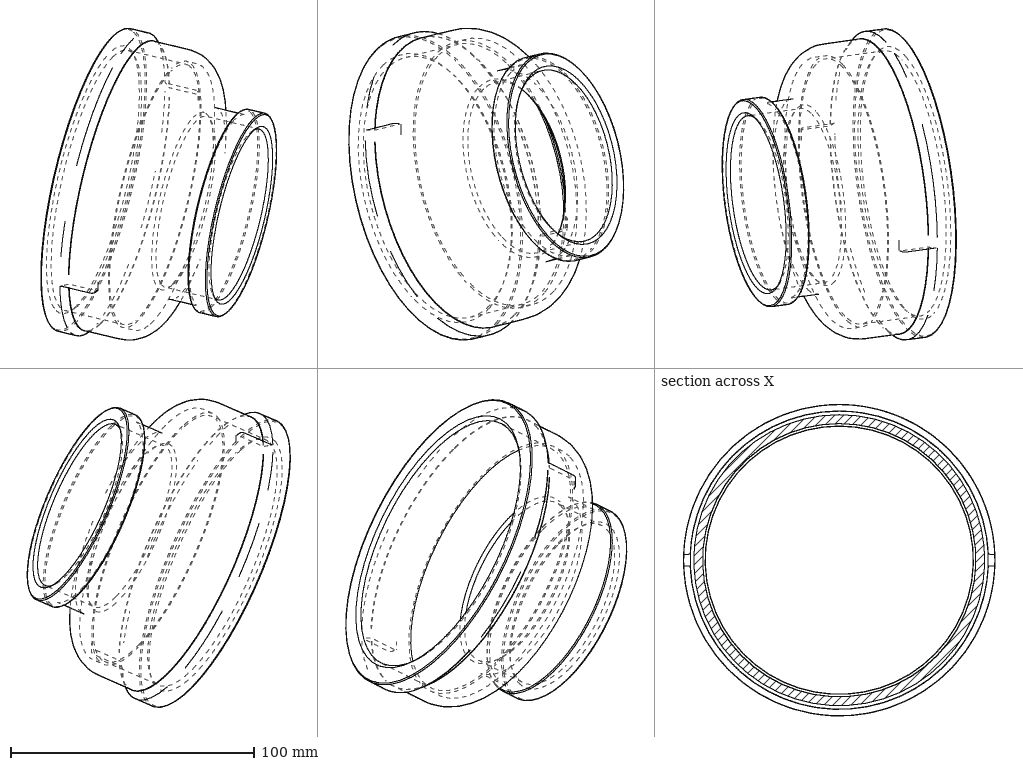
import cadquery as cq
import math

length = 65.0

collar_dia = 128.0
body_dia = 122.43
neck_dia = 81.0
flange_dia = 86.0

collar_end = 8.6
shoulder_start = 26.6
flange_start = 56.7

shoulder_radius = 13.8
cone_angle = math.radians(18.0)
neck_fillet = 0.7
rim_chamfer = 0.5
flange_root_fillet = 0.4

socket_dia = 110.07
relief_dia = 112.5
bore_dia = 72.23

relief_start = 27.0
relief_fillet = 2.0
bore_start = 40.5
bore_chamfer = 1.4
mouth_chamfer = 1.5

rib_end = 24.0
rib_width = 5.0
rib_draft = math.radians(5.0)
rib_end_draft = math.radians(15.0)
rib_end_rounding = 2.0
edge_fillet = 0.3

collar_r = collar_dia / 2
body_r = body_dia / 2
neck_r = neck_dia / 2
flange_r = flange_dia / 2
socket_r = socket_dia / 2
relief_r = relief_dia / 2
bore_r = bore_dia / 2


def shoulder_point(angle):
    """Point (x, radius) on the shoulder arc, at an angle up from the X direction."""
    x = shoulder_start + shoulder_radius * math.cos(angle)
    r = body_r - shoulder_radius + shoulder_radius * math.sin(angle)
    return x, r


def cone_fillet(corner_x, corner_r, radius, direction):
    """Three points of a fillet from a cylinder to the cone it meets.

    With direction +1 the cylinder lies on the +X side of the corner and the cone rises from it;
    with -1 the cylinder lies on the -X side and the cone falls away.
    """
    half_turn = (math.pi / 2 - cone_angle) / 2
    tangent = radius * math.tan(half_turn)
    on_cylinder = (corner_x + direction * tangent, corner_r)
    middle = (
        on_cylinder[0] - direction * radius * math.sin(half_turn),
        corner_r + direction * radius * (1 - math.cos(half_turn)),
    )
    on_cone = (
        corner_x - direction * tangent * math.sin(cone_angle),
        corner_r + direction * tangent * math.cos(cone_angle),
    )
    return on_cylinder, middle, on_cone


def make_outer_body():
    """Solid of revolution bounded by the outside surfaces."""
    arc_middle = shoulder_point((cone_angle + math.pi / 2) / 2)
    arc_end = shoulder_point(cone_angle)
    cone_foot_x = arc_end[0] + (arc_end[1] - neck_r) * math.tan(cone_angle)

    fillet_end, fillet_middle, fillet_start = cone_fillet(cone_foot_x, neck_r, neck_fillet, 1)
    return (
        cq.Workplane("XZ")
        .moveTo(0, 0)
        .lineTo(0, collar_r - rim_chamfer)
        .lineTo(rim_chamfer, collar_r)
        .lineTo(collar_end, collar_r)
        .lineTo(collar_end + collar_r - body_r, body_r)
        .lineTo(shoulder_start, body_r)
        .threePointArc(arc_middle, arc_end)
        .lineTo(*fillet_start)
        .threePointArc(fillet_middle, fillet_end)
        .lineTo(flange_start - flange_root_fillet, neck_r)
        .tangentArcPoint((flange_root_fillet, flange_root_fillet))
        .lineTo(flange_start, flange_r - rim_chamfer)
        .lineTo(flange_start + rim_chamfer, flange_r)
        .lineTo(length - rim_chamfer, flange_r)
        .lineTo(length, flange_r - rim_chamfer)
        .lineTo(length, 0)
        .close()
        .revolve(360, (0, 0, 0), (1, 0, 0))
    )


def make_rib(side):
    """Drafted rib standing out to the collar radius on one Y side (+1 or -1)."""
    root_r = (socket_r + body_r) / 2
    root_half_width = rib_width / 2 + (body_r - root_r) * math.tan(rib_draft)
    top_half_width = rib_width / 2 - (collar_r - body_r) * math.tan(rib_draft)
    rib_start = collar_end / 2
    bar = (
        cq.Workplane("YZ", origin=(rib_start, 0, 0))
        .moveTo(side * root_r, -root_half_width)
        .lineTo(side * collar_r, -top_half_width)
        .lineTo(side * collar_r, top_half_width)
        .lineTo(side * root_r, root_half_width)
        .close()
        .extrude(rib_end - rib_start)
    )

    rise = collar_r - body_r
    corner_x = rib_end - rise * math.tan(rib_end_draft)
    turn = math.pi / 2 - rib_end_draft
    tangent = rib_end_rounding * math.tan(turn / 2)
    rounding_end = (
        corner_x + tangent * math.sin(rib_end_draft),
        collar_r - tangent * math.cos(rib_end_draft),
    )
    envelope = (
        cq.Workplane("XZ")
        .moveTo(0, 0)
        .lineTo(0, collar_r)
        .lineTo(corner_x - tangent, collar_r)
        .tangentArcPoint(rounding_end, relative=False)
        .lineTo(rib_end, body_r)
        .lineTo(rib_end, 0)
        .close()
        .revolve(360, (0, 0, 0), (1, 0, 0))
    )
    return bar.intersect(envelope)


def make_cavity():
    """Socket, relief groove, inner cone and through bore as one solid of revolution."""
    cone_end_r = bore_r + bore_chamfer
    cone_end_x = bore_start - bore_chamfer
    cone_corner_x = cone_end_x - (relief_r - cone_end_r) * math.tan(cone_angle)
    fillet_start, fillet_middle, fillet_end = cone_fillet(cone_corner_x, relief_r, relief_fillet, -1)
    return (
        cq.Workplane("XZ")
        .moveTo(0, 0)
        .lineTo(0, socket_r + mouth_chamfer)
        .lineTo(mouth_chamfer, socket_r)
        .lineTo(relief_start, socket_r)
        .lineTo(relief_start, relief_r)
        .lineTo(*fillet_start)
        .threePointArc(fillet_middle, fillet_end)
        .lineTo(cone_end_x, cone_end_r)
        .lineTo(bore_start, bore_r)
        .lineTo(length - bore_chamfer, bore_r)
        .lineTo(length, bore_r + bore_chamfer)
        .lineTo(length, 0)
        .close()
        .revolve(360, (0, 0, 0), (1, 0, 0))
    )


def round_raised_edges(body):
    """Fillet the collar's back edges and all rib edges, outer and inner corners alike."""
    raised = cq.selectors.BoxSelector(
        (collar_end - edge_fillet, -collar_dia, -collar_dia),
        (rib_end + edge_fillet, collar_dia, collar_dia),
        boundingbox=True,
    )
    collar_foot_x = collar_end + collar_r - body_r
    smooth_seams = cq.selectors.BoxSelector(
        (collar_foot_x + edge_fillet, -collar_dia, -edge_fillet),
        (rib_end - edge_fillet / 2, collar_dia, edge_fillet),
    )
    return body.edges(raised - smooth_seams).fillet(edge_fillet)


outer = make_outer_body()
for side in (1, -1):
    outer = outer.union(make_rib(side))
result = round_raised_edges(outer.clean()).cut(make_cavity())